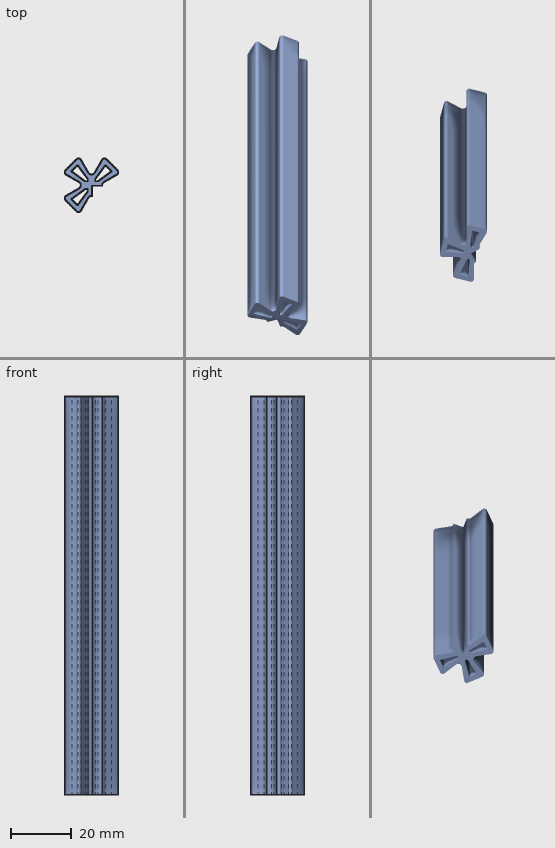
import cadquery as cq
import math

length = 131.0
half_width = 8.84

arm_angles = (45, 135, 225)
face_sum = 13.5
face_distance = face_sum / math.sqrt(2)

groove_bottom = 3.5
groove_radius = 1.2
groove_half_angle = math.radians(30)
groove_centre = groove_bottom + groove_radius

corner_offset = 0.2

core_inner = 1.3
core_shoulder = 2.1
core_tip_near = 4.6
core_tip_far = 6.5

apex_height = groove_centre - groove_radius / math.sin(groove_half_angle)
tip_height = (face_sum + apex_height * math.tan(groove_half_angle)) / (1 + math.tan(groove_half_angle))
tip_offset = face_sum - tip_height

tip_angle = math.pi / 4 + groove_half_angle
bisector_lean = (math.pi / 4 - groove_half_angle) / 2
centre_drop = math.cos(bisector_lean) / math.sin(tip_angle / 2)
tip_radius = (tip_height - half_width) / (centre_drop - 1)


def rotated(solid, angle):
    return solid.rotate((0, 0, 0), (0, 0, 1), angle)


def make_body():
    """Square block standing on its diagonals, large enough to hold the four arms."""
    side = 2 * face_distance
    return rotated(cq.Workplane("XY").rect(side, side).extrude(length), 45)


def make_groove():
    """Groove cutter on the +Y side, with its flanks run past the outer faces."""
    mouth_height = 2 * half_width
    mouth_half = (mouth_height - apex_height) * math.tan(groove_half_angle)
    tangent_x = groove_radius * math.cos(groove_half_angle)
    tangent_y = groove_centre - groove_radius * math.sin(groove_half_angle)
    return (
        cq.Workplane("XY")
        .moveTo(-mouth_half, mouth_height)
        .lineTo(-tangent_x, tangent_y)
        .threePointArc((0, groove_bottom), (tangent_x, tangent_y))
        .lineTo(mouth_half, mouth_height)
        .close()
        .extrude(length)
    )


def make_core():
    """Hollow of the 45 degree arm, running the full length."""
    return (
        cq.Workplane("XY")
        .polyline([
            (core_inner, core_inner),
            (core_shoulder, core_inner),
            (core_tip_far, core_tip_near),
            (core_tip_near, core_tip_far),
            (core_inner, core_shoulder),
        ])
        .close()
        .extrude(length)
    )


def make_missing_arm():
    """Cutter for the quadrant that has no arm."""
    size = 2 * half_width
    return (
        cq.Workplane("XY")
        .rect(size, size, centered=False)
        .extrude(length)
        .translate((corner_offset, -corner_offset - size, 0))
    )


body = make_body()
for angle in (0, 90, 180, 270):
    body = body.cut(rotated(make_groove(), angle))

tip_distance = math.hypot(tip_offset, tip_height)
tip_edges = [
    edge for edge in body.edges("|Z").vals()
    if math.hypot(edge.Center().x, edge.Center().y) > tip_distance - tip_radius
]
body = body.newObject(tip_edges).fillet(tip_radius)

body = body.cut(make_missing_arm())
for angle in arm_angles:
    body = body.cut(rotated(make_core(), angle - arm_angles[0]))

result = body